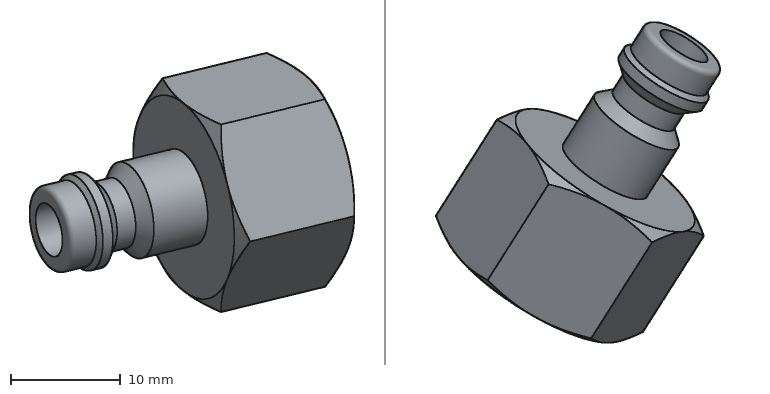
import cadquery as cq
import math

total_length = 26.5
hex_length = 12.5
across_flats = 19.0
across_corners = across_flats / math.cos(math.radians(30))
hex_chamfer_angle = 30.0
trim_margin = 0.26

stem_diameter = 9.0
neck_diameter = 6.6
tip_diameter = 8.1
bore_diameter = 5.0
tip_fillet = 0.5

stem_end = 5.6
neck_start = 6.8
neck_end = 8.75
collar_start = 9.85
collar_end = 10.9
tip_start = 11.35
plug_length = total_length - hex_length


def revolve_about_y(points):
    """Revolve a closed outline of (radius, y) points about the Y axis."""
    return cq.Workplane("XY").polyline(points).close().revolve(360, (0, 0, 0), (0, 1, 0))


def make_hexagon():
    """Hexagon with corners on X and both ends trimmed by cones touching the flats."""
    prism = cq.Workplane("XZ").polygon(6, across_corners).extrude(-hex_length)
    face_radius = across_flats / 2
    trim_radius = across_corners / 2 + trim_margin
    chamfer_depth = (trim_radius - face_radius) * math.tan(math.radians(hex_chamfer_angle))
    envelope = revolve_about_y([
        (0, 0),
        (face_radius, 0),
        (trim_radius, chamfer_depth),
        (trim_radius, hex_length - chamfer_depth),
        (face_radius, hex_length),
        (0, hex_length),
    ])
    return prism.intersect(envelope)


def make_plug():
    """Turned plug with a locking groove, a collar and a rounded tip."""
    stem_radius = stem_diameter / 2
    neck_radius = neck_diameter / 2
    tip_radius = tip_diameter / 2
    plug = revolve_about_y([
        (0, 0),
        (stem_radius, 0),
        (stem_radius, -stem_end),
        (neck_radius, -neck_start),
        (neck_radius, -neck_end),
        (stem_radius, -collar_start),
        (stem_radius, -collar_end),
        (tip_radius, -tip_start),
        (tip_radius, -plug_length),
        (0, -plug_length),
    ])
    return plug.faces("<Y").edges().fillet(tip_fillet)


def make_bore():
    """Straight bore through the whole length."""
    return (
        cq.Workplane("XZ", origin=(0, hex_length, 0))
        .circle(bore_diameter / 2)
        .extrude(total_length)
    )


result = make_hexagon().union(make_plug()).cut(make_bore())